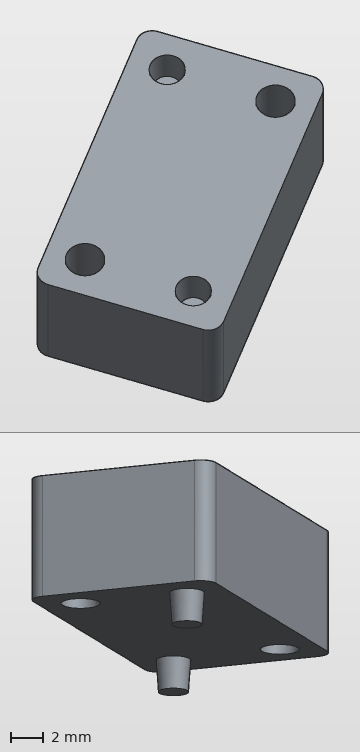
import cadquery as cq

width = 12.0
length = 20.0
block_height = 7.6
corner_radius = 1.0

spacing_x = 7.0
spacing_y = 15.0
half_x = spacing_x / 2
half_y = spacing_y / 2

hole_diameter = 2.4
hole_places = [(half_x, half_y), (-half_x, -half_y)]

peg_places = [(-half_x, half_y), (half_x, -half_y)]
peg_root_diameter = 2.12
peg_tip_diameter = 1.85
peg_length = 2.0
socket_mouth_diameter = 2.2
socket_floor_diameter = 1.85
socket_depth = peg_length


def downward_cone(place, start_height, start_diameter, end_diameter, depth):
    """Truncated cone running straight down from start_height."""
    x, y = place
    return cq.Workplane(
        cq.Solid.makeCone(
            start_diameter / 2,
            end_diameter / 2,
            depth,
            pnt=cq.Vector(x, y, start_height),
            dir=cq.Vector(0, 0, -1),
        )
    )


block = (
    cq.Workplane("XY")
    .rect(width, length)
    .extrude(block_height)
    .edges("|Z")
    .fillet(corner_radius)
)

result = block.faces(">Z").workplane().pushPoints(hole_places).hole(hole_diameter)

for place in peg_places:
    peg = downward_cone(place, 0, peg_root_diameter, peg_tip_diameter, peg_length)
    socket = downward_cone(
        place, block_height, socket_mouth_diameter, socket_floor_diameter, socket_depth
    )
    result = result.union(peg).cut(socket)